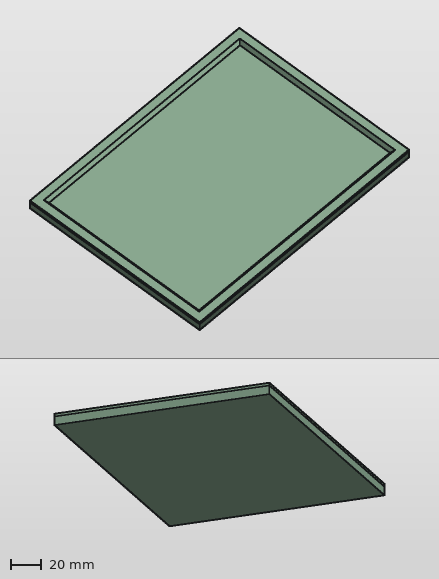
import cadquery as cq

width = 152.0
length = 201.0
height = 8.0

bezel_thickness = 2.0
bezel_rim = 6.5
bevel_run = 2.5
bevel_depth = 2.8

panel_thickness = 2.0

base_height = height - bezel_thickness
panel_top = height - bevel_depth
panel_bottom = panel_top - panel_thickness
opening_width = width - 2 * bezel_rim
opening_length = length - 2 * bezel_rim
floor_width = opening_width - 2 * bevel_run
floor_length = opening_length - 2 * bevel_run


def block(size_x, size_y, bottom, top):
    """Rectangular block centred on the Z axis between two heights."""
    return cq.Workplane("XY", origin=(0, 0, bottom)).rect(size_x, size_y).extrude(top - bottom)


def make_base():
    """Backing block with a recess that holds the panel and the bezel lip."""
    recess = block(opening_width, opening_length, panel_bottom, base_height)
    return block(width, length, 0, base_height).cut(recess)


def make_panel():
    """Flat sheet that forms the floor of the bezel opening."""
    return block(opening_width, opening_length, panel_bottom, panel_top)


def make_bezel():
    """Upper frame with a lip, and an opening that narrows evenly down to the panel."""
    frame = block(width, length, base_height, height)
    lip = block(opening_width, opening_length, panel_top, base_height)
    bevelled_opening = (
        cq.Workplane("XY", origin=(0, 0, panel_top))
        .rect(floor_width, floor_length)
        .workplane(offset=bevel_depth)
        .rect(opening_width, opening_length)
        .loft(ruled=True)
    )
    return frame.union(lip).cut(bevelled_opening)


base = make_base()
panel = make_panel()
bezel = make_bezel()

result = cq.Compound.makeCompound([base.val(), panel.val(), bezel.val()])